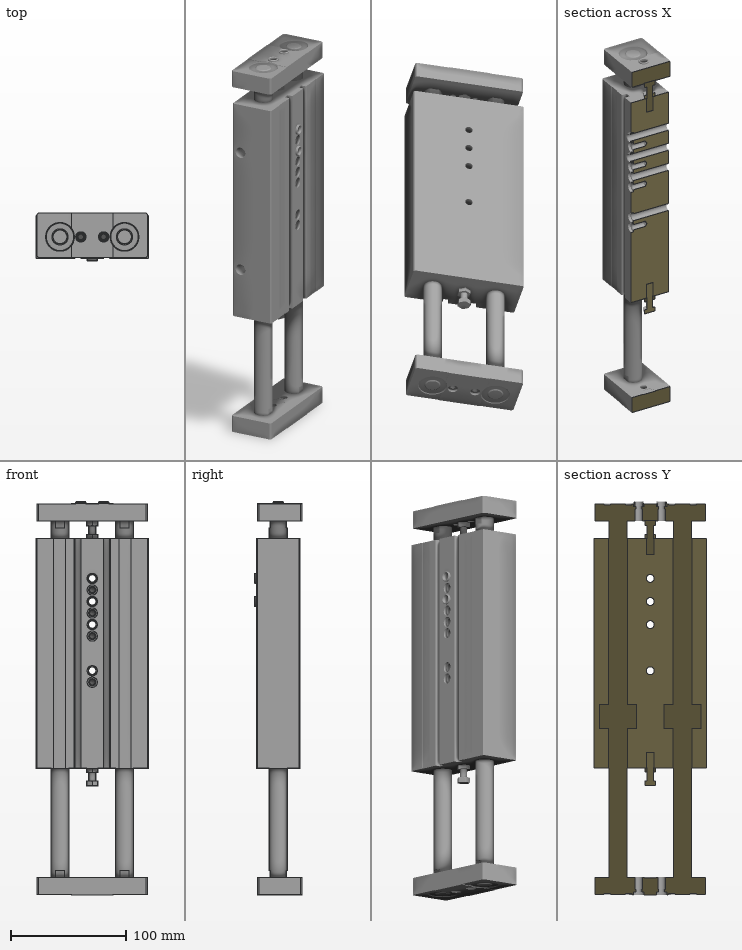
import cadquery as cq
import math

total_height = 341.7

housing_width = 98.0
housing_depth = 38.0
housing_height = 200.0
housing_bottom = 110.0
housing_top = housing_bottom + housing_height
housing_chamfer = 1.0

groove_inner_x = 10.0
groove_outer_x = 15.0
groove_depth = 4.8
groove_chamfer = 0.7
strip_inner_x = 23.2
strip_outer_x = 33.5
strip_depth = 0.5

yoke_width = 96.0
yoke_depth = 39.0
yoke_chamfer = 1.5
yoke_shift_y = 1.5
yoke_thickness = 15.5
pad_width = 36.2
pad_height = 0.5
sleeve_proud_yoke = 1.55
lower_yoke_inner = yoke_thickness
upper_yoke_outer = total_height - sleeve_proud_yoke
upper_yoke_inner = upper_yoke_outer - yoke_thickness

rod_x = 28.0
rod_diameter = 16.0
rod_end_diameter = 14.0
rod_tip_diameter = 12.0
rod_flat_height = 5.8
recess_diameter = 25.0
recess_floor_diameter = 24.0
recess_depth = 0.7
piston_diameter = 32.0
piston_length = 20.5

sleeve_diameter = 9.0
sleeve_bore = 6.5
sleeve_mouth = 7.5
sleeve_chamfer = 0.5
sleeve_proud_housing = 1.88
seat_depth = 2.5
yoke_hole_x = 10.0
yoke_thread_depth = 10.3

hole_row_length = 90.2
first_hole_drop = 35.0
first_hole_z = housing_top - first_hole_drop
through_hole_steps = (0, 2, 4, 8)
blind_hole_steps = (1, 3, 5, 9)
hole_pitch = hole_row_length / max(blind_hole_steps)
sleeve_steps = (0, 2)
through_diameter = 6.5
thread_diameter = 6.0
thread_core = 4.8
blind_depth = 12.0

port_diameter = 9.5
port_core = 8.5
port_y = 11.3
blind_port_depth = 8.2
open_port_depth = housing_width / 2 - rod_x
port_offset_z = 55.0
drill_point_angle = 118.0

hex_across_flats = 10.0
hex_mark_flats = 10.5
hex_mark_depth = 0.5
shank_diameter = 6.0
shank_depth = 13.5
nut_height = 3.5
screw_head_height = 4.5
screw_head_chamfer = 0.7
screw_reach = upper_yoke_inner + hex_mark_depth - housing_top

housing_middle = housing_bottom + housing_height / 2
upper_port_z = housing_middle + port_offset_z
lower_port_z = housing_middle - port_offset_z
front_y = -housing_depth / 2
SIDES = (-1, 1)


def cylinder_z(diameter, height, bottom, x=0.0):
    return cq.Workplane("XY", origin=(x, 0, bottom)).circle(diameter / 2).extrude(height)


def cone_z(bottom_diameter, top_diameter, height, bottom, x):
    start = cq.Vector(x, 0, bottom)
    return cq.Workplane(cq.Solid.makeCone(bottom_diameter / 2, top_diameter / 2, height, start))


def across_corners(across_flats):
    return across_flats / math.cos(math.pi / 6)


def hexagon(across_flats, height, bottom):
    """Hexagonal prism on the Z axis with corners at front and rear."""
    return (
        cq.Workplane("XY", origin=(0, 0, bottom))
        .transformed(rotate=(0, 0, 90))
        .polygon(6, across_corners(across_flats))
        .extrude(height)
    )


def block(width, depth, height, x, y, bottom):
    return cq.Workplane("XY", origin=(x, y, bottom)).rect(width, depth).extrude(height)


def bore(diameter, depth, point, direction):
    start = cq.Vector(*point)
    return cq.Workplane(cq.Solid.makeCylinder(diameter / 2, depth, start, cq.Vector(*direction)))


def countersink(mouth, core, point, direction):
    """45 degree cone narrowing from the mouth diameter to the core diameter."""
    depth = (mouth - core) / 2
    start = cq.Vector(*point)
    return cq.Workplane(cq.Solid.makeCone(mouth / 2, core / 2, depth, start, cq.Vector(*direction)))


def drill_point(diameter, depth, point, direction):
    """Conical end of a drilled hole whose straight part has the given depth."""
    radius = diameter / 2
    tip = radius / math.tan(math.radians(drill_point_angle / 2))
    axis = cq.Vector(*direction)
    start = cq.Vector(*point) + axis * depth
    return cq.Workplane(cq.Solid.makeCone(radius, 0, tip, start, axis))


def hole_z(step):
    return first_hole_z - step * hole_pitch


def front_groove(side):
    """Deep lengthwise groove with a chamfered outer edge."""
    floor_y = front_y + groove_depth
    profile = [
        (side * groove_inner_x, front_y),
        (side * groove_inner_x, floor_y),
        (side * groove_outer_x, floor_y),
        (side * groove_outer_x, front_y + groove_chamfer),
        (side * (groove_outer_x + groove_chamfer), front_y),
    ]
    return (
        cq.Workplane("XY", origin=(0, 0, housing_bottom))
        .polyline(profile)
        .close()
        .extrude(housing_height)
    )


def front_strip(side):
    """Shallow lengthwise relief outside the groove."""
    width = strip_outer_x - strip_inner_x
    middle = side * (strip_inner_x + strip_outer_x) / 2
    return block(width, 2 * strip_depth, housing_height, middle, front_y, housing_bottom)


def cut_mounting_holes(body):
    inward = (0, 1, 0)
    for step in through_hole_steps + blind_hole_steps:
        body = body.cut(bore(sleeve_diameter, seat_depth, (0, front_y, hole_z(step)), inward))
    for step in through_hole_steps:
        body = body.cut(bore(through_diameter, housing_depth, (0, front_y, hole_z(step)), inward))
    for step in blind_hole_steps:
        start = (0, front_y + seat_depth, hole_z(step))
        body = body.cut(bore(thread_core, blind_depth, start, inward))
        body = body.cut(drill_point(thread_core, blind_depth, start, inward))
        body = body.cut(countersink(thread_diameter, thread_core, start, inward))
    return body


def cut_ports(body):
    """The upper port is blind; the lower one opens into the piston chamber."""
    inward = (1, 0, 0)
    for z, depth in ((upper_port_z, blind_port_depth), (lower_port_z, open_port_depth)):
        start = (-housing_width / 2, port_y, z)
        body = body.cut(bore(port_core, depth, start, inward))
        body = body.cut(countersink(port_diameter, port_core, start, inward))
    upper_start = (-housing_width / 2, port_y, upper_port_z)
    return body.cut(drill_point(port_core, blind_port_depth, upper_start, inward))


def make_housing():
    body = block(housing_width, housing_depth, housing_height, 0, 0, housing_bottom)
    body = body.edges("|Z").chamfer(housing_chamfer)
    for side in SIDES:
        body = body.cut(front_groove(side))
        body = body.cut(front_strip(side))
        body = body.cut(cylinder_z(rod_diameter, housing_height, housing_bottom, side * rod_x))
        body = body.cut(piston(side))
    body = cut_mounting_holes(body)
    body = cut_ports(body)
    for bottom in (housing_bottom, housing_top - shank_depth):
        body = body.cut(cylinder_z(shank_diameter, shank_depth, bottom))
    return body


def piston(side):
    return cylinder_z(piston_diameter, piston_length, lower_port_z - piston_length / 2, side * rod_x)


def rod(side):
    length = upper_yoke_inner - lower_yoke_inner
    shaft = cylinder_z(rod_diameter, length, lower_yoke_inner, side * rod_x)
    flat = (rod_diameter - rod_end_diameter) / 2
    for bottom in (lower_yoke_inner, upper_yoke_inner - rod_flat_height):
        for face in SIDES:
            flat_y = face * (rod_end_diameter + flat) / 2
            shaft = shaft.cut(
                block(rod_diameter, flat, rod_flat_height, side * rod_x, flat_y, bottom)
            )
    return shaft.union(piston(side))


def make_yoke():
    """Yoke with its inner face at Z = 0 and its outer face upwards."""
    base_height = yoke_thickness - pad_height
    yoke = block(yoke_width, yoke_depth, base_height, 0, yoke_shift_y, 0)
    yoke = yoke.edges("|Z").chamfer(yoke_chamfer)
    yoke = yoke.union(block(pad_width, yoke_depth, pad_height, 0, yoke_shift_y, base_height))
    recess_floor = base_height - recess_depth
    for side in SIDES:
        x = side * rod_x
        yoke = yoke.cut(cylinder_z(recess_diameter, pad_height, base_height, x))
        yoke = yoke.cut(cone_z(recess_floor_diameter, recess_diameter, recess_depth, recess_floor, x))
        yoke = yoke.union(cone_z(rod_end_diameter, rod_tip_diameter, recess_depth, recess_floor, x))
        yoke = cut_sleeve_hole(yoke, side * yoke_hole_x)
    return yoke.cut(hexagon(hex_mark_flats, hex_mark_depth, 0))


def cut_sleeve_hole(yoke, x):
    """Stepped hole: thread from the inner face, narrower core, sleeve seat in the outer face."""
    yoke = yoke.cut(cylinder_z(thread_core, yoke_thickness, 0, x))
    yoke = yoke.cut(cylinder_z(thread_diameter, yoke_thread_depth, 0, x))
    return yoke.cut(cylinder_z(sleeve_diameter, seat_depth, yoke_thickness - seat_depth, x))


def make_frame():
    yoke = make_yoke()
    frame = yoke.translate((0, 0, upper_yoke_inner))
    frame = frame.union(yoke.mirror("XY").translate((0, 0, lower_yoke_inner)))
    for side in SIDES:
        frame = frame.union(rod(side))
    return frame


def make_sleeve(proud):
    """Sleeve along Z, seated from Z = -seat_depth and standing proud of Z = 0."""
    ring = cylinder_z(sleeve_diameter, seat_depth + proud, -seat_depth)
    ring = ring.faces(">Z").edges().chamfer(sleeve_chamfer)
    ring = ring.cut(cylinder_z(sleeve_bore, seat_depth + proud, -seat_depth))
    return ring.cut(countersink(sleeve_mouth, sleeve_bore, (0, 0, proud), (0, 0, -1)))


def make_yoke_sleeve(side):
    return make_sleeve(sleeve_proud_yoke).translate((side * yoke_hole_x, 0, upper_yoke_outer))


def make_front_sleeve(step):
    sleeve = make_sleeve(sleeve_proud_housing).rotate((0, 0, 0), (1, 0, 0), 90)
    return sleeve.translate((0, front_y, hole_z(step)))


def place_at_end(body, end):
    """Move a body made on Z = 0 to the top (1) or, flipped, to the bottom (-1) of the housing."""
    if end > 0:
        return body.translate((0, 0, housing_top))
    return body.mirror("XY").translate((0, 0, housing_bottom))


def make_screw(end):
    head_bottom = screw_reach - screw_head_height
    screw = cylinder_z(shank_diameter, shank_depth + head_bottom, -shank_depth)
    head = hexagon(hex_across_flats, screw_head_height, head_bottom)
    corner_turning = cylinder_z(across_corners(hex_across_flats), screw_head_height, head_bottom)
    corner_turning = corner_turning.faces("<Z").edges().chamfer(screw_head_chamfer)
    screw = screw.union(head.intersect(corner_turning))
    return place_at_end(screw, end)


def make_nut(end):
    nut = hexagon(hex_across_flats, nut_height, 0).cut(cylinder_z(shank_diameter, nut_height, 0))
    return place_at_end(nut, end)


housing = make_housing()
frame = make_frame()
yoke_sleeves = [make_yoke_sleeve(side).val() for side in SIDES]
front_sleeves = [make_front_sleeve(step).val() for step in sleeve_steps]
screws = [make_screw(end).val() for end in SIDES]
nuts = [make_nut(end).val() for end in SIDES]

result = cq.Compound.makeCompound(
    [housing.val(), frame.val(), *yoke_sleeves, *front_sleeves, *screws, *nuts]
)